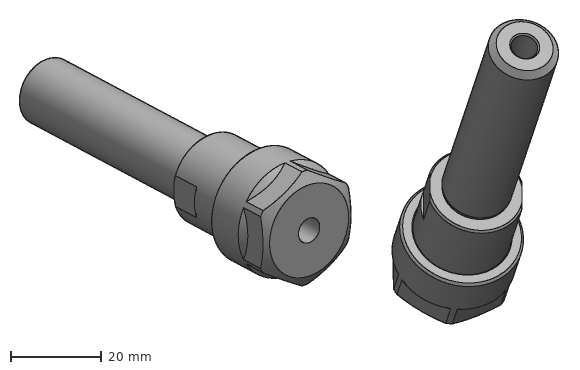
import cadquery as cq
import math

shank_end = 59.3
collar_start = 59.9
flat_end = 68.0
nut_start = 77.3
hex_start = 87.4
length = 95.1

shank_radius = 15.9 / 2
shank_chamfer = 1.5
neck_radius = 15.4 / 2
shank_end_chamfer = 0.5
collar_radius = 22.1 / 2
collar_chamfer = 0.5
collar_flat_offset = 10.4
bore_diameter = 6.0
bore_chamfer = 0.4

nut_radius = 28.0 / 2
nut_chamfer = 0.6
recess_chamfer = 0.3
hex_flat_offset = 12.5
hex_side_count = 6
tip_chamfer_length = 1.6
tip_chamfer_angle = 30.0


def revolve_profile(points):
    """Turn (x, radius) points around the X axis."""
    outline = cq.Workplane("XY").polyline(points).close()
    return outline.revolve(360, (0, 0, 0), (1, 0, 0))


def x_cylinder(start, end, diameter):
    return cq.Workplane("YZ", origin=(start, 0, 0)).circle(diameter / 2).extrude(end - start)


def mouth_chamfer(start, radius, size):
    """Conical cutter that breaks the edge of a bore opening toward -X."""
    return revolve_profile([
        (start, 0),
        (start, radius + size),
        (start + size, radius),
        (start + size, 0),
    ])


def make_holder():
    """Shank, relief neck and collar, with a spigot that reaches into the nut."""
    holder = revolve_profile([
        (0, 0),
        (0, shank_radius - shank_chamfer),
        (shank_chamfer, shank_radius),
        (shank_end - shank_end_chamfer, shank_radius),
        (shank_end, neck_radius),
        (collar_start, neck_radius),
        (collar_start, collar_radius - collar_chamfer),
        (collar_start + collar_chamfer, collar_radius),
        (hex_start, collar_radius),
        (hex_start, 0),
    ])

    flat_depth = collar_radius - collar_flat_offset
    for side in (-1, 1):
        flat_cutter = cq.Workplane("XY").box(
            flat_end - collar_start, 2 * flat_depth, 2 * collar_radius
        ).translate(((collar_start + flat_end) / 2, side * (collar_flat_offset + flat_depth), 0))
        holder = holder.cut(flat_cutter)

    holder = holder.cut(x_cylinder(0, hex_start, bore_diameter))
    return holder.cut(mouth_chamfer(0, bore_diameter / 2, bore_chamfer))


def hex_flat_cutter():
    """Wedge that cuts one flat, with a conical run-out at its rear end."""
    flat_depth = nut_radius - hex_flat_offset
    prism = cq.Workplane("XY").box(
        length - hex_start, 2 * flat_depth, 2 * nut_radius
    ).translate(((hex_start + length) / 2, hex_flat_offset + flat_depth, 0))
    run_out = revolve_profile([
        (hex_start, 0),
        (hex_start, nut_radius),
        (hex_start + nut_radius, 0),
    ])
    return prism.cut(run_out)


def make_nut():
    """Round nut with a hexagonal front, recessed for the holder spigot."""
    tip_radius = nut_radius - tip_chamfer_length / math.tan(math.radians(tip_chamfer_angle))
    nut = revolve_profile([
        (nut_start, 0),
        (nut_start, nut_radius - nut_chamfer),
        (nut_start + nut_chamfer, nut_radius),
        (length - tip_chamfer_length, nut_radius),
        (length, tip_radius),
        (length, 0),
    ])

    cutter = hex_flat_cutter()
    for index in range(hex_side_count):
        angle = index * 360 / hex_side_count
        nut = nut.cut(cutter.rotate((0, 0, 0), (1, 0, 0), angle))

    nut = nut.cut(x_cylinder(nut_start, hex_start, 2 * collar_radius))
    nut = nut.cut(mouth_chamfer(nut_start, collar_radius, recess_chamfer))
    return nut.cut(x_cylinder(hex_start, length, bore_diameter))


holder = make_holder()
nut = make_nut()
result = cq.Compound.makeCompound([holder.val(), nut.val()])